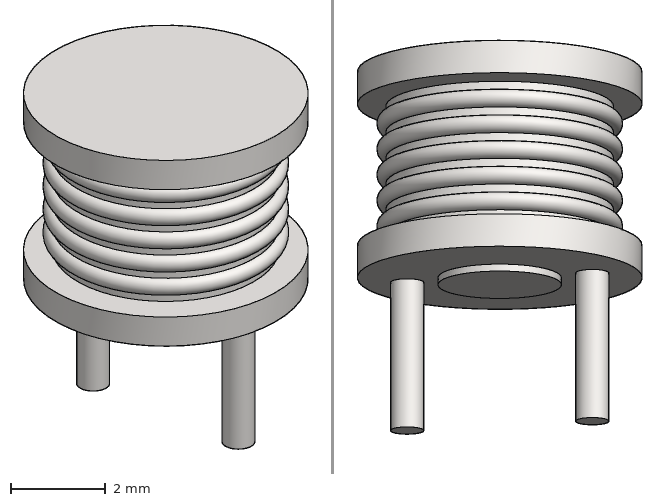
import cadquery as cq

flange_diameter = 6.0
flange_thickness = 0.7
post_diameter = 1.2

winding_diameter = 4.8
winding_height = 2.95
winding_gap = 0.05

wire_diameter = 0.38
turn_count = 5
turn_spacing = (winding_height - turn_count * wire_diameter) / (turn_count + 1)
turn_pitch = wire_diameter + turn_spacing

standoff_diameter = 2.6
standoff_height = 0.15
pin_diameter = 0.7
pin_length = 3.2
pin_spacing = 4.0

lower_flange_bottom = standoff_height
lower_flange_top = lower_flange_bottom + flange_thickness
winding_bottom = lower_flange_top + winding_gap
upper_flange_bottom = winding_bottom + winding_height + winding_gap


def cylinder(diameter, bottom, height, x=0.0):
    """Upright cylinder standing on the given height, centred on Y = 0."""
    return cq.Workplane("XY", origin=(x, 0, bottom)).circle(diameter / 2).extrude(height)


def make_core():
    lower_flange = cylinder(flange_diameter, lower_flange_bottom, flange_thickness)
    upper_flange = cylinder(flange_diameter, upper_flange_bottom, flange_thickness)
    post = cylinder(post_diameter, lower_flange_top, upper_flange_bottom - lower_flange_top)
    standoff = cylinder(standoff_diameter, 0, standoff_height)
    return lower_flange.union(post).union(upper_flange).union(standoff)


def make_turn(height):
    """Closed ring of round wire, centred on the winding surface."""
    profile = cq.Workplane("XZ").center(-winding_diameter / 2, height).circle(wire_diameter / 2)
    return profile.revolve(360, (winding_diameter / 2, 0), (winding_diameter / 2, 1))


def make_winding():
    winding = cylinder(winding_diameter, winding_bottom, winding_height)
    first_turn = winding_bottom + turn_spacing + wire_diameter / 2
    for index in range(turn_count):
        winding = winding.union(make_turn(first_turn + index * turn_pitch))
    return winding


def make_pin(x):
    return cylinder(pin_diameter, lower_flange_bottom - pin_length, pin_length, x)


result = make_core().union(make_winding())
for side in (-1, 1):
    result = result.union(make_pin(side * pin_spacing / 2))